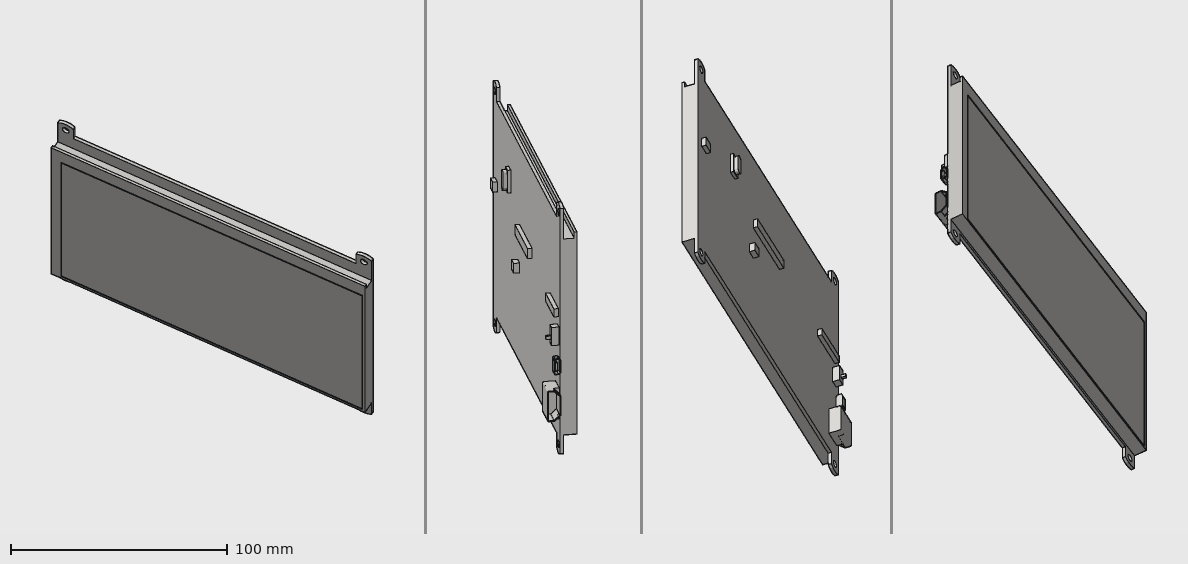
import cadquery as cq


board_length = 165.0
board_height = 107.2
board_front = 6.3
board_back = 8.0
tab_width = 8.3
tab_tip = 62.1
tab_crown = 1.3
hole_diameter = 3.5
hole_height = 57.5
board_half = board_length / 2
tab_center = board_half - tab_width / 2

panel_bottom = -51.6
panel_top = 45.6
glass_top = 48.6
glass_thickness = 1.3
view_left = -77.4
view_right = 80.8
view_bottom = -50.1
view_top = 40.0
view_depth = 0.3

overhang = 1.0
connector_left = -board_half - overhang
lip_front = 7.8

hdmi_back = 14.1
hdmi_length = 12.3
hdmi_center = -36.5
hdmi_half_width = 7.6
hdmi_half_front = 4.8
hdmi_bevel_start = 10.8
hdmi_wall = 0.5
hdmi_cavity_depth = 8.3
hdmi_lip = 3.0
hdmi_fillet = 0.8

usb_back = 11.1
usb_length = 3.8
usb_center = -17.1
usb_half_width = 4.0
usb_half_end = 3.0
usb_back_bevel = 0.5
usb_front_bevel = 1.0
usb_wall = 0.3
usb_cavity_depth = 3.0
tongue_half_width = 2.0
tongue_thickness = 0.8
tongue_gap = 0.5

switch_left = -79.7
switch_right = -75.7
switch_bottom = -8.0
switch_top = 1.0
switch_back = 11.5
lever_x = -77.9
lever_z = -4.5
lever_width = 1.3
lever_height = 1.7
lever_back = 13.8

crystal_x = 41.7
crystal_z = 27.5
base_width = 5.1
base_height = 11.3
base_back = 9.5
can_width = 3.5
can_height = 10.3
can_back = 11.5

low_back = 10.1
tall_back = 10.8
components = [
    (-78.4, -58.0, 5.6, 9.6, low_back),
    (-13.3, 17.5, 9.6, 14.6, low_back),
    (72.4, 77.9, 9.6, 14.6, low_back),
    (17.3, 22.0, -9.3, -4.5, tall_back),
]


def block(left, right, front, back, bottom, top):
    """Box between the given X, Y and Z limits."""
    size = (right - left, back - front, top - bottom)
    return cq.Workplane("XY").box(*size, centered=False).translate((left, front, bottom))


def prism_along_x(outline, left, length, center_z):
    """Extrude a (Y, Z) outline towards +X, with its Z measured from center_z."""
    plane = cq.Workplane("YZ", origin=(left, 0, center_z))
    return plane.polyline(outline).close().extrude(length)


def inward_cavity(outline, wall, left, depth, center_z):
    """Pocket that follows an outline, kept one wall thickness inside it."""
    plane = cq.Workplane("YZ", origin=(left, 0, center_z))
    return plane.polyline(outline).close().offset2D(-wall, "intersection").extrude(depth)


def make_tab(side_x, side_z):
    """Mounting tab with a crowned tip and a screw hole, in one corner of the board."""
    shoulder = tab_tip - tab_crown
    half_width = tab_width / 2
    thickness = board_back - board_front
    plane = cq.Workplane("XZ", origin=(side_x * tab_center, board_back, 0))
    tab = (
        plane.moveTo(-half_width, 0)
        .lineTo(-half_width, side_z * shoulder)
        .threePointArc((0, side_z * tab_tip), (half_width, side_z * shoulder))
        .lineTo(half_width, 0)
        .close()
        .extrude(thickness)
    )
    hole = plane.center(0, side_z * hole_height).circle(hole_diameter / 2).extrude(thickness)
    return tab.cut(hole)


def make_board():
    half_height = board_height / 2
    board = block(-board_half, board_half, board_front, board_back, -half_height, half_height)
    for side_x in (-1, 1):
        for side_z in (-1, 1):
            board = board.union(make_tab(side_x, side_z))
    return board


def make_display():
    panel = block(-board_half, board_half, glass_thickness, board_front, panel_bottom, panel_top)
    glass = block(-board_half, board_half, 0, glass_thickness, panel_bottom, glass_top)
    view = block(view_left, view_right, 0, view_depth, view_bottom, view_top)
    return panel.union(glass).cut(view)


def make_hdmi():
    """Bevelled shell at the mouth, a square housing behind it, and a pocket for the plug."""
    outline = [
        (hdmi_back, -hdmi_half_width),
        (hdmi_back, hdmi_half_width),
        (hdmi_bevel_start, hdmi_half_width),
        (lip_front, hdmi_half_front),
        (lip_front, -hdmi_half_front),
        (hdmi_bevel_start, -hdmi_half_width),
    ]
    mouth = prism_along_x(outline, connector_left, hdmi_lip, hdmi_center)
    housing = block(
        connector_left + hdmi_lip,
        connector_left + hdmi_length,
        board_back,
        hdmi_back,
        hdmi_center - hdmi_half_width,
        hdmi_center + hdmi_half_width,
    )
    socket = mouth.union(housing).edges("|X and >Y").fillet(hdmi_fillet)
    cavity = inward_cavity(outline, hdmi_wall, connector_left, hdmi_cavity_depth, hdmi_center)
    return socket.cut(cavity.edges("|X and >Y").fillet(hdmi_fillet - hdmi_wall))


def make_usb():
    """Shell with bevelled corners, hollow at the mouth, with a contact tongue inside."""
    outline = [
        (usb_back, -usb_half_end),
        (usb_back, usb_half_end),
        (usb_back - usb_back_bevel, usb_half_width),
        (lip_front + usb_front_bevel, usb_half_width),
        (lip_front, usb_half_end),
        (lip_front, -usb_half_end),
        (lip_front + usb_front_bevel, -usb_half_width),
        (usb_back - usb_back_bevel, -usb_half_width),
    ]
    shell = prism_along_x(outline, connector_left, usb_length, usb_center)
    shell = shell.cut(inward_cavity(outline, usb_wall, connector_left, usb_cavity_depth, usb_center))
    tongue_back = usb_back - usb_wall - tongue_gap
    tongue = block(
        connector_left,
        connector_left + usb_length,
        tongue_back - tongue_thickness,
        tongue_back,
        usb_center - tongue_half_width,
        usb_center + tongue_half_width,
    )
    return shell.union(tongue)


def make_switch():
    body = block(switch_left, switch_right, board_back, switch_back, switch_bottom, switch_top)
    lever = block(
        lever_x - lever_width / 2,
        lever_x + lever_width / 2,
        switch_back,
        lever_back,
        lever_z - lever_height / 2,
        lever_z + lever_height / 2,
    )
    return body.union(lever)


def make_crystal():
    base = block(
        crystal_x - base_width / 2,
        crystal_x + base_width / 2,
        board_back,
        base_back,
        crystal_z - base_height / 2,
        crystal_z + base_height / 2,
    )
    plane = cq.Workplane("XZ", origin=(crystal_x, can_back, crystal_z))
    can = plane.slot2D(can_height, can_width, 90).extrude(can_back - base_back)
    return base.union(can)


result = make_board().union(make_display())
for socket in (make_hdmi(), make_usb()):
    result = result.union(socket)
for device in (make_switch(), make_crystal()):
    result = result.union(device)
for left, right, bottom, top, back in components:
    result = result.union(block(left, right, board_back, back, bottom, top))